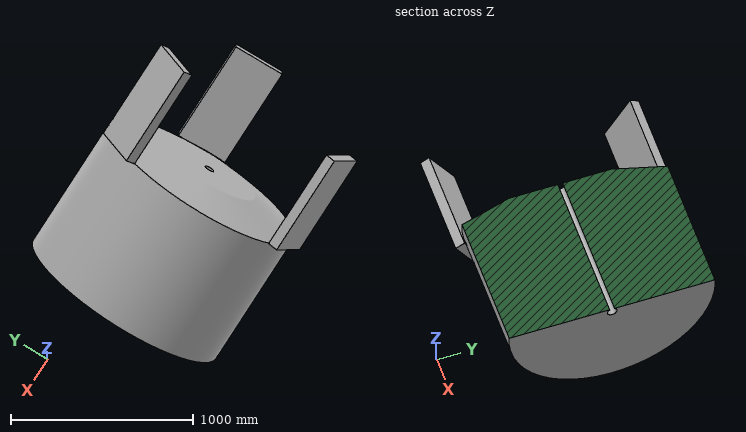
import cadquery as cq

total_length = 1400.0
leg_length = 600.0
body_radius = 599.9
nose_length = 83.0
nose_radius = 300.0
hole_diameter = 55.0
leg_width = 300.0
leg_thickness = 60.0
leg_outer_offset = 647.5
leg_count = 3

body_length = total_length - leg_length


def make_body():
    """Cylinder with a truncated conical nose, revolved about X."""
    half_profile = (
        cq.Workplane("XY")
        .moveTo(-nose_length, 0)
        .lineTo(-nose_length, nose_radius)
        .lineTo(0, body_radius)
        .lineTo(body_length, body_radius)
        .lineTo(body_length, 0)
        .close()
    )
    return half_profile.revolve(360, (0, 0, 0), (1, 0, 0))


def make_leg(angle):
    """Flat leg reaching forward from the body rim, turned about X from the top."""
    leg = cq.Workplane("XY").box(leg_length, leg_width, leg_thickness)
    leg_center_height = leg_outer_offset - leg_thickness / 2
    leg = leg.translate((-leg_length / 2, 0, leg_center_height))
    return leg.rotate((0, 0, 0), (1, 0, 0), angle)


def make_axial_hole():
    """Cutter for the central hole through the whole body."""
    return (
        cq.Workplane("YZ", origin=(-nose_length, 0, 0))
        .circle(hole_diameter / 2)
        .extrude(nose_length + body_length)
    )


result = make_body()
for leg_index in range(leg_count):
    result = result.union(make_leg(leg_index * 360 / leg_count))
result = result.cut(make_axial_hole())